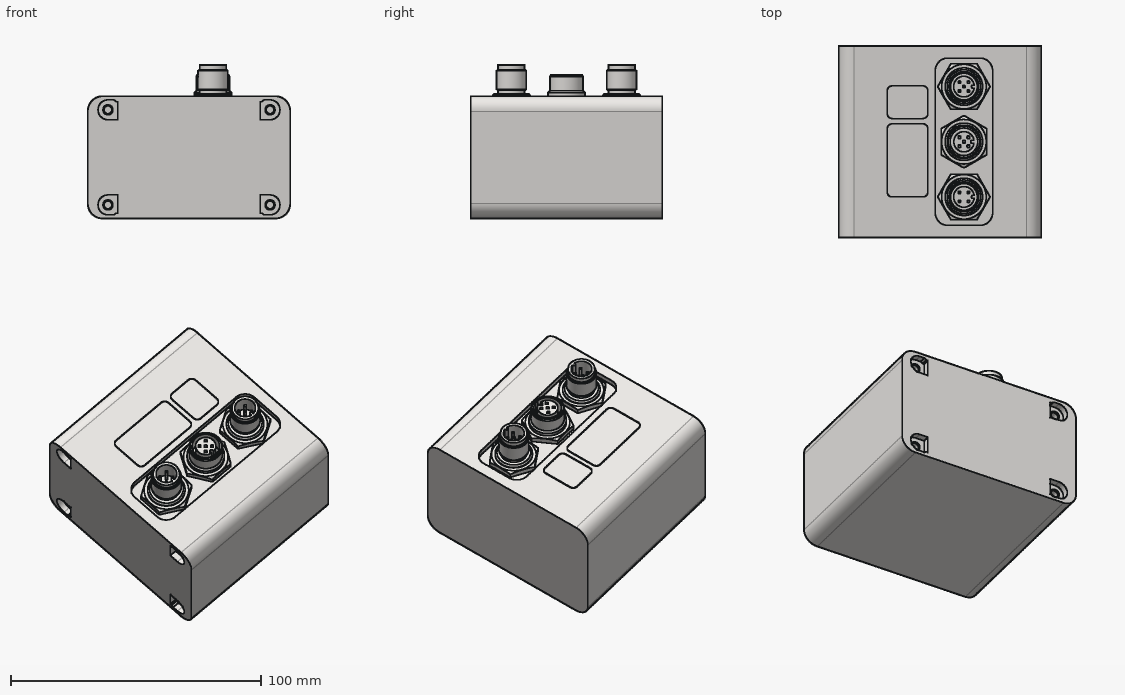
import cadquery as cq
import math

HOUSING_WIDTH = 81.0
HOUSING_LENGTH = 76.6
HOUSING_HEIGHT = 49.0
HOUSING_CORNER_RADIUS = 6.1

BAY_WIDTH = 22.9
BAY_LENGTH = 66.8
BAY_DEPTH = 2.5
BAY_CORNER_RADIUS = 5.0
BAY_X = 9.55
CONNECTOR_PITCH = 22.0

LABEL_X = -13.0
LABEL_WIDTH = 16.3
LABEL_DEPTH = 0.3
LABEL_CORNER_RADIUS = 2.0
LABELS = [(15.8, 13.05), (-7.45, 29.25)]

NUT_ACROSS_FLATS = 18.15
NUT_HEIGHT = 2.4
NUT_CHAMFER_ANGLE = 20.0
NUT_TOP_INSET = 0.2
COLLAR_DIAMETER = 15.0

MALE_HEIGHT = 12.5
MALE_COLLAR_TOP = 1.0
MALE_COLLAR_CHAMFER = 0.7
MALE_NECK_DIAMETER = 10.7
MALE_BARREL_END_DIAMETER = 11.0
MALE_BARREL_DIAMETER = 12.0
MALE_BARREL_BOTTOM = 2.35
MALE_BARREL_TOP = 10.45
MALE_BARREL_TAPER = 0.4
MALE_BORE_DIAMETER = 8.3
MALE_BORE_DEPTH = 8.1
PIN_DIAMETER = 1.0
PIN_TIP_DEPTH = 2.5
PIN_ROOT_DEPTH = 1.0
KEY_WIDTH = 1.2
KEY_TIP_RADIUS = 3.0

FEMALE_HEIGHT = 8.4
FEMALE_COLLAR_TOP = 2.0
FEMALE_COLLAR_CONE_HEIGHT = 0.65
FEMALE_BARREL_DIAMETER = 13.4
FEMALE_BARREL_CHAMFER = 0.4
FEMALE_BARREL_CHAMFER_HEIGHT = 0.65
FEMALE_BORE_DIAMETER = 11.0
FEMALE_BORE_DEPTH = 6.5
INSERT_DIAMETER = 8.1
SOCKET_DIAMETER = 1.1
SOCKET_DEPTH = 4.9
KEYWAY_WIDTH = 1.3
KEYWAY_TIP_RADIUS = 2.7

CONTACT_OFFSET = 1.8

SCREW_SPACING_X = 64.8
SCREW_SPACING_Z = 38.0
POCKET_RADIUS = 4.0
POCKET_DEPTH = 3.0
POCKET_NOTCH_X = 2.35
POCKET_NOTCH_WIDTH = 0.9
POCKET_NOTCH_HEIGHT = 0.65
SCREW_HOLE_DIAMETER = 4.0
SCREW_CORE_DIAMETER = 3.15
SCREW_HOLE_DEPTH = 12.15


def rod(diameter, bottom, top, x=0.0, y=0.0):
    """Vertical cylinder between two heights."""
    return cq.Workplane("XY", origin=(x, y, bottom)).circle(diameter / 2).extrude(top - bottom)


def key_bar(width, tip_radius, outer_radius, bottom, top):
    """Vertical round-nosed bar between the tip radius and the outer radius, on the +X side."""
    nose_x = tip_radius + width / 2
    length = outer_radius - nose_x
    shank = cq.Workplane("XY").box(length, width, top - bottom, centered=(False, True, False))
    return rod(width, bottom, top, x=nose_x).union(shank.translate((nose_x, 0, bottom)))


def turned(profile):
    """Solid of revolution about Z from (radius, height) points."""
    return cq.Workplane("XZ").polyline(profile).close().revolve(360, (0, 0, 0), (0, 1, 0))


def contact_positions(with_centre):
    """Corners of the contact square, plus its middle when asked for."""
    corners = [(sx * CONTACT_OFFSET, sy * CONTACT_OFFSET) for sx in (-1, 1) for sy in (-1, 1)]
    return corners + [(0, 0)] if with_centre else corners


def rounded_recess(x, y, width, length, depth, radius):
    """Rounded rectangular cutter sunk into the top face of the housing."""
    return (
        cq.Workplane("XY", origin=(x, y, HOUSING_HEIGHT - depth))
        .rect(width, length)
        .extrude(depth)
        .edges("|Z")
        .fillet(radius)
    )


def make_nut(rotation):
    """Hexagonal nut standing on the bay floor, corners on X when the rotation is zero."""
    corner_radius = NUT_ACROSS_FLATS / 2 / math.cos(math.pi / 6)
    flat_radius = NUT_ACROSS_FLATS / 2 - NUT_TOP_INSET
    drop = (corner_radius - flat_radius) * math.tan(math.radians(NUT_CHAMFER_ANGLE))
    top = NUT_HEIGHT - BAY_DEPTH
    hexagon = (
        cq.Workplane("XY", origin=(0, 0, -BAY_DEPTH))
        .polygon(6, 2 * corner_radius)
        .extrude(NUT_HEIGHT)
        .rotate((0, 0, 0), (0, 0, 1), rotation)
    )
    envelope = turned([
        (0, -BAY_DEPTH),
        (corner_radius, -BAY_DEPTH),
        (corner_radius, top - drop),
        (flat_radius, top),
        (0, top),
    ])
    return hexagon.intersect(envelope)


def make_male_connector(with_centre):
    """Male connector, Z = 0 on the top face of the housing."""
    collar_radius = COLLAR_DIAMETER / 2
    neck_radius = MALE_NECK_DIAMETER / 2
    barrel_radius = MALE_BARREL_DIAMETER / 2
    barrel_end_radius = MALE_BARREL_END_DIAMETER / 2
    body = turned([
        (0, -BAY_DEPTH),
        (collar_radius, -BAY_DEPTH),
        (collar_radius, MALE_COLLAR_TOP - MALE_COLLAR_CHAMFER),
        (collar_radius - MALE_COLLAR_CHAMFER, MALE_COLLAR_TOP),
        (neck_radius, MALE_COLLAR_TOP),
        (neck_radius, MALE_BARREL_BOTTOM),
        (barrel_end_radius, MALE_BARREL_BOTTOM),
        (barrel_radius, MALE_BARREL_BOTTOM + MALE_BARREL_TAPER),
        (barrel_radius, MALE_BARREL_TOP - MALE_BARREL_TAPER),
        (barrel_end_radius, MALE_BARREL_TOP),
        (neck_radius, MALE_BARREL_TOP),
        (neck_radius, MALE_HEIGHT),
        (0, MALE_HEIGHT),
    ])
    bore_floor = MALE_HEIGHT - MALE_BORE_DEPTH
    bore = rod(MALE_BORE_DIAMETER, bore_floor, MALE_HEIGHT)
    bore = bore.cut(key_bar(KEY_WIDTH, KEY_TIP_RADIUS, neck_radius, bore_floor, MALE_HEIGHT))
    body = body.cut(bore)
    pin_root = bore_floor - PIN_ROOT_DEPTH
    pin_tip = MALE_HEIGHT - PIN_TIP_DEPTH
    for x, y in contact_positions(with_centre):
        body = body.union(rod(PIN_DIAMETER, pin_root, pin_tip, x, y))
    return body.union(make_nut(0))


def make_female_connector():
    """Female connector, Z = 0 on the top face of the housing."""
    collar_radius = COLLAR_DIAMETER / 2
    barrel_radius = FEMALE_BARREL_DIAMETER / 2
    bore_radius = FEMALE_BORE_DIAMETER / 2
    insert_radius = INSERT_DIAMETER / 2
    groove_floor = FEMALE_HEIGHT - FEMALE_BORE_DEPTH
    body = turned([
        (0, -BAY_DEPTH),
        (collar_radius, -BAY_DEPTH),
        (collar_radius, FEMALE_COLLAR_TOP - FEMALE_COLLAR_CONE_HEIGHT),
        (barrel_radius, FEMALE_COLLAR_TOP),
        (barrel_radius, FEMALE_HEIGHT - FEMALE_BARREL_CHAMFER_HEIGHT),
        (barrel_radius - FEMALE_BARREL_CHAMFER, FEMALE_HEIGHT),
        (bore_radius, FEMALE_HEIGHT),
        (bore_radius, groove_floor),
        (insert_radius, groove_floor),
        (insert_radius, FEMALE_HEIGHT),
        (0, FEMALE_HEIGHT),
    ])
    for x, y in contact_positions(True):
        body = body.cut(rod(SOCKET_DIAMETER, FEMALE_HEIGHT - SOCKET_DEPTH, FEMALE_HEIGHT, x, y))
    body = body.cut(key_bar(KEYWAY_WIDTH, KEYWAY_TIP_RADIUS, bore_radius, groove_floor, FEMALE_HEIGHT))
    return body.union(make_nut(90))


def make_screw_pocket():
    """Cutter for the upper-left screw pocket: flat bottom and right side, round left side."""
    front = cq.Workplane("XZ", origin=(0, -HOUSING_LENGTH / 2, 0))
    r = POCKET_RADIUS
    pocket = (
        front.moveTo(0, -r)
        .lineTo(r, -r)
        .lineTo(r, r - POCKET_NOTCH_HEIGHT)
        .lineTo(POCKET_NOTCH_X + POCKET_NOTCH_WIDTH, r - POCKET_NOTCH_HEIGHT)
        .lineTo(POCKET_NOTCH_X, r)
        .lineTo(0, r)
        .threePointArc((-r, 0), (0, -r))
        .close()
        .extrude(-POCKET_DEPTH)
    )
    floor_y = -HOUSING_LENGTH / 2 + POCKET_DEPTH
    chamfer = (SCREW_HOLE_DIAMETER - SCREW_CORE_DIAMETER) / 2
    hole = (
        cq.Workplane("XY")
        .polyline([
            (0, floor_y),
            (SCREW_HOLE_DIAMETER / 2, floor_y),
            (SCREW_CORE_DIAMETER / 2, floor_y + chamfer),
            (SCREW_CORE_DIAMETER / 2, floor_y + SCREW_HOLE_DEPTH),
            (0, floor_y + SCREW_HOLE_DEPTH),
        ])
        .close()
        .revolve(360, (0, 0, 0), (0, 1, 0))
    )
    return pocket.union(hole)


result = (
    cq.Workplane("XY")
    .box(HOUSING_WIDTH, HOUSING_LENGTH, HOUSING_HEIGHT, centered=(True, True, False))
    .edges("|Y")
    .fillet(HOUSING_CORNER_RADIUS)
)
result = result.cut(rounded_recess(BAY_X, 0, BAY_WIDTH, BAY_LENGTH, BAY_DEPTH, BAY_CORNER_RADIUS))
for label_y, label_length in LABELS:
    result = result.cut(
        rounded_recess(LABEL_X, label_y, LABEL_WIDTH, label_length, LABEL_DEPTH, LABEL_CORNER_RADIUS)
    )

upper_left = make_screw_pocket().translate((-SCREW_SPACING_X / 2, 0, SCREW_SPACING_Z / 2))
left_pair = upper_left.union(upper_left.mirror("XY"))
all_pockets = left_pair.union(left_pair.mirror("YZ"))
result = result.cut(all_pockets.translate((0, 0, HOUSING_HEIGHT / 2)))

connectors = [
    (CONNECTOR_PITCH, make_male_connector(True)),
    (0, make_female_connector()),
    (-CONNECTOR_PITCH, make_male_connector(False)),
]
for connector_y, connector in connectors:
    result = result.union(connector.translate((BAY_X, connector_y, HOUSING_HEIGHT)))